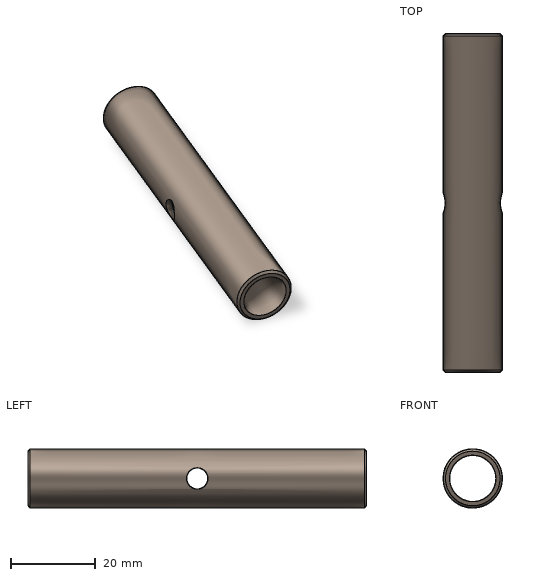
import cadquery as cq

tube_length = 80.0
outer_diameter = 14.0
bore_diameter = 10.9
end_chamfer = 0.6

cross_hole_diameter = 5.0


def make_cross_hole_cutter():
    """Cylinder along X, long enough to pass through both tube walls."""
    return (
        cq.Workplane("YZ")
        .circle(cross_hole_diameter / 2)
        .extrude(outer_diameter, both=True)
    )


def make_tube():
    """Tube with chamfered outer end edges and a cross hole."""
    rod = (
        cq.Workplane("XZ")
        .circle(outer_diameter / 2)
        .extrude(tube_length / 2, both=True)
        .faces("<Y or >Y")
        .edges()
        .chamfer(end_chamfer)
    )
    bore = (
        cq.Workplane("XZ")
        .circle(bore_diameter / 2)
        .extrude(tube_length / 2, both=True)
    )
    return rod.cut(bore).cut(make_cross_hole_cutter())


tube = make_tube()

result = cq.Compound.makeCompound([tube.solids().val()])